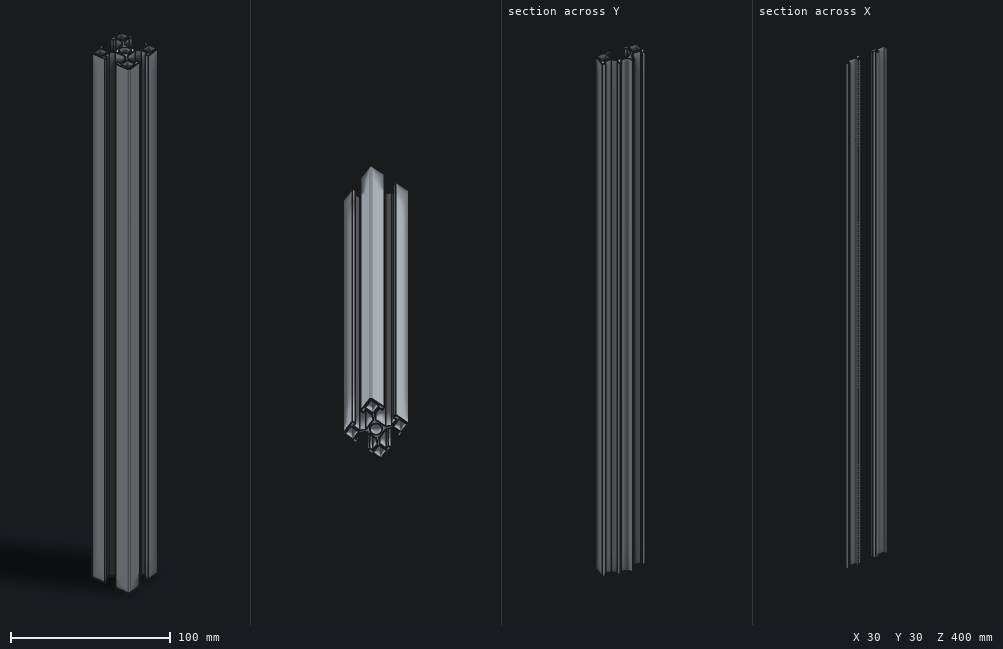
import cadquery as cq

length = 400
side = 30.0
outer_corner_radius = 1.0

slot_width = 9.0
lip_thickness = 2.3
chamber_width = 13.0

box_wall = 1.0
box_bore_radius = 0.6

core_side = 10.0
core_bore_diameter = 7.5
web_thickness = 1.5

half_side = side / 2
box_side = (side - chamber_width) / 2
box_center = half_side - box_side / 2
box_bore_side = box_side - 2 * box_wall
lip_reach = (side - slot_width) / 2


def bar(size_x, size_y, x=0, y=0):
    """Full-length rectangular bar standing on Z = 0, centred on (x, y)."""
    return cq.Workplane("XY").center(x, y).rect(size_x, size_y).extrude(length)


def turned(body, angle):
    """Body turned about the part axis by an angle in degrees."""
    return body.rotate((0, 0, 0), (0, 0, 1), angle)


def corner_box():
    """Solid +X +Y corner: a square box with a lip reaching over each adjoining slot."""
    lip_along = half_side - lip_reach / 2
    lip_across = half_side - lip_thickness / 2
    box = bar(box_side, box_side, box_center, box_center)
    box = box.union(bar(lip_reach, lip_thickness, lip_along, lip_across))
    box = box.union(bar(lip_thickness, lip_reach, lip_across, lip_along))
    return box.edges("|Z and >(1, 1, 0)").fillet(outer_corner_radius)


def diagonal_web():
    """Web along the +X +Y diagonal, from the part axis to the middle of the corner box."""
    web_length = box_center * 2**0.5
    return turned(bar(web_length, web_thickness, web_length / 2), 45)


def box_bore():
    """Square channel with rounded corners running through the +X +Y corner box."""
    channel = bar(box_bore_side, box_bore_side, box_center, box_center)
    return channel.edges("|Z").fillet(box_bore_radius)


core_bore = cq.Workplane("XY").circle(core_bore_diameter / 2).extrude(length)
arm = corner_box().union(diagonal_web()).cut(box_bore())

profile = bar(core_side, core_side)
for quarter_turn in range(4):
    profile = profile.union(turned(arm, 90 * quarter_turn))

result = profile.cut(core_bore)